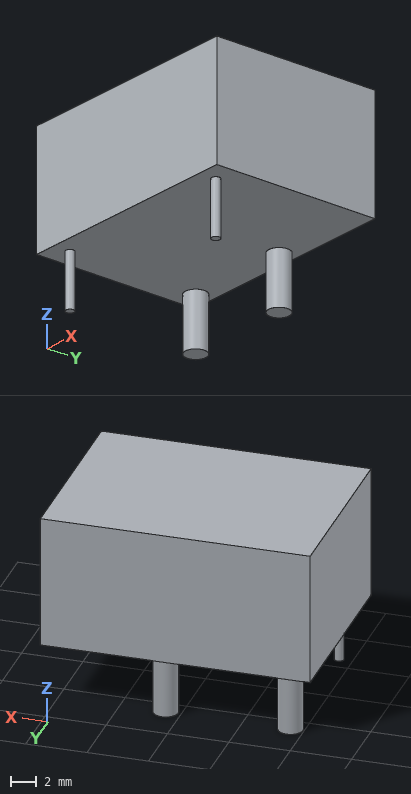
import cadquery as cq

LENGTH = 22.0
WIDTH = 16.0
HEIGHT = 11.0

PIN_LENGTH = 5.1
THICK_DIAMETER = 2.05
THIN_DIAMETER = 0.8

LEFT_MARGIN = 2.11
BACK_MARGIN = 1.65
ROW_SPACING = 12.7
THICK_PITCH = 10.16
THIN_PITCH = 17.78

first_x = -LENGTH / 2 + LEFT_MARGIN
back_row_y = WIDTH / 2 - BACK_MARGIN
front_row_y = back_row_y - ROW_SPACING


def make_housing():
    """Plain block with its underside at Z = 0."""
    return cq.Workplane("XY").box(LENGTH, WIDTH, HEIGHT, centered=(True, True, False))


def make_pin(diameter, x, y):
    """Round pin hanging from the underside of the housing."""
    return cq.Workplane("XY").center(x, y).circle(diameter / 2).extrude(-PIN_LENGTH)


housing = make_housing()
thick_pins = [make_pin(THICK_DIAMETER, x, back_row_y) for x in (first_x, first_x + THICK_PITCH)]
thin_pins = [make_pin(THIN_DIAMETER, x, front_row_y) for x in (first_x, first_x + THIN_PITCH)]

result = cq.Compound.makeCompound(
    [housing.val()] + [pin.val() for pin in thick_pins + thin_pins]
)